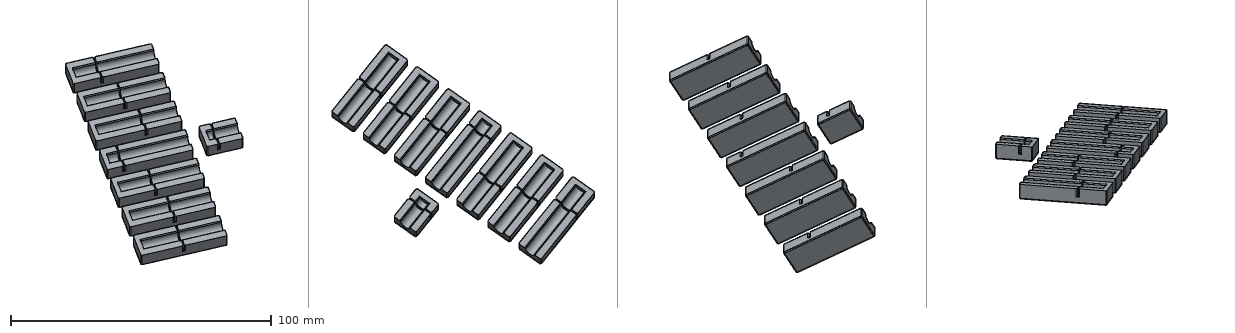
import cadquery as cq

block_width = 10.74
block_height = 6.0
long_length = 34.6
short_length = 14.6
overall_depth = 54.6
edge_chamfer = 0.4

block_pitch = 15.0
short_block_column = 3

trough_width = 4.98
trough_depth = 2.8
lip_chamfer = 0.42
front_wall = 2.0

slot_width = 0.5
slot_depth = 3.3
slot_mouth_chamfer = 0.4

long_slot_positions = [11.45, 16.3, 20.25, 6.85, 15.05, 18.05, 17.25]
short_slot_position = 4.9


def blank(length):
    """Plain block with its front face on y = 0 and its upright and bottom edges chamfered."""
    body = cq.Workplane("XY").box(block_width, length, block_height, centered=(True, False, False))
    return body.edges("|Z").chamfer(edge_chamfer).faces("<Z").edges().chamfer(edge_chamfer)


def trough(length):
    """Trough cutter: a round floor with chamfered lips at the top face."""
    half_mouth = trough_width / 2
    half_round = half_mouth - lip_chamfer
    lip_bottom = block_height - lip_chamfer
    return (
        cq.Workplane("XZ", origin=(0, length, 0))
        .moveTo(-half_mouth, block_height)
        .lineTo(-half_round, lip_bottom)
        .threePointArc((0, block_height - trough_depth), (half_round, lip_bottom))
        .lineTo(half_mouth, block_height)
        .close()
        .extrude(length - front_wall)
    )


def cross_slot(position):
    """Slot cutter across the full width, flaring to a wider mouth at each side of the block."""
    half_block = block_width / 2
    half_neck = slot_width / 2
    half_mouth = half_neck + slot_mouth_chamfer
    neck_end = half_block - slot_mouth_chamfer
    return (
        cq.Workplane("XY", origin=(0, position, block_height - slot_depth))
        .moveTo(-half_block, half_mouth)
        .lineTo(-neck_end, half_neck)
        .lineTo(neck_end, half_neck)
        .lineTo(half_block, half_mouth)
        .lineTo(half_block, -half_mouth)
        .lineTo(neck_end, -half_neck)
        .lineTo(-neck_end, -half_neck)
        .lineTo(-half_block, -half_mouth)
        .close()
        .extrude(slot_depth)
    )


def slotted_block(length, slot_position):
    """Finished block: a blank with its trough and cross slot removed."""
    return blank(length).cut(trough(length)).cut(cross_slot(slot_position))


blocks = [
    slotted_block(long_length, position).translate((column * block_pitch, 0, 0))
    for column, position in enumerate(long_slot_positions)
]

short_block = slotted_block(short_length, short_slot_position).translate(
    (short_block_column * block_pitch, overall_depth - short_length, 0)
)

result = cq.Compound.makeCompound([block.val() for block in blocks] + [short_block.val()])